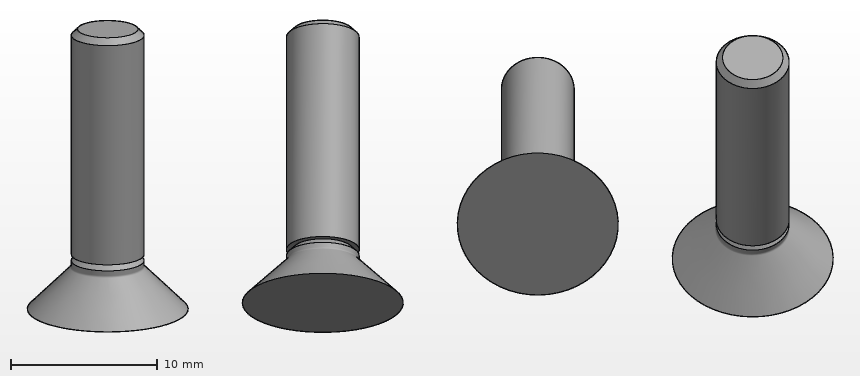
import cadquery as cq
import math

total_length = 20.0
head_radius = 11.03 / 2
thread_radius = 5.0 / 2
core_radius = 4.134 / 2
neck_radius = thread_radius
thread_start = 3.9
fillet_radius = 0.2

bevel = thread_radius - core_radius
neck_top = thread_start - bevel
tip_bevel_start = total_length - bevel

cone_half_angle = math.radians(45)
cone_height = (head_radius - neck_radius) / math.tan(cone_half_angle)

tangent_length = fillet_radius * math.tan(cone_half_angle / 2)
fillet_bottom_radius = neck_radius + tangent_length * math.sin(cone_half_angle)
fillet_bottom = cone_height - tangent_length * math.cos(cone_half_angle)
fillet_top = cone_height + tangent_length
fillet_mid_radius = neck_radius + fillet_radius * (1 - math.cos(cone_half_angle / 2))
fillet_mid = fillet_top - fillet_radius * math.sin(cone_half_angle / 2)


def half_profile():
    """Closed half section in the XZ plane, from the head face up to the tip."""
    return (
        cq.Workplane("XZ")
        .lineTo(head_radius, 0)
        .lineTo(fillet_bottom_radius, fillet_bottom)
        .threePointArc((fillet_mid_radius, fillet_mid), (neck_radius, fillet_top))
        .lineTo(neck_radius, neck_top)
        .lineTo(core_radius, thread_start)
        .lineTo(thread_radius, thread_start)
        .lineTo(thread_radius, tip_bevel_start)
        .lineTo(core_radius, total_length)
        .lineTo(0, total_length)
        .close()
    )


result = half_profile().revolve(360, (0, 0, 0), (0, 1, 0))